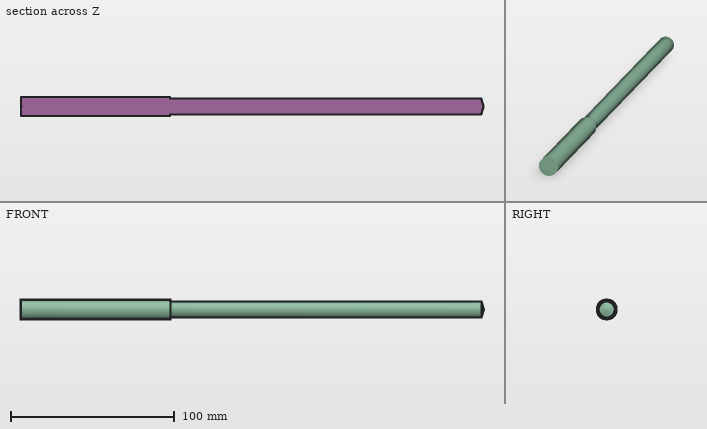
import cadquery as cq

overall_length = 283.0
handle_length = 91.5
handle_diameter = 12.0
shaft_diameter = 10.0
tip_length = 1.5
centre_mark_diameter = 0.1
centre_mark_depth = 0.5

handle_radius = handle_diameter / 2
shaft_radius = shaft_diameter / 2
shaft_end = overall_length - tip_length


def stepped_rod():
    """Thick handle, thinner shaft and shallow conical tip, revolved about the X axis."""
    half_profile = (
        cq.Workplane("XY")
        .moveTo(0, 0)
        .lineTo(0, handle_radius)
        .lineTo(handle_length, handle_radius)
        .lineTo(handle_length, shaft_radius)
        .lineTo(shaft_end, shaft_radius)
        .lineTo(overall_length, 0)
        .close()
    )
    return half_profile.revolve(360, (0, 0, 0), (1, 0, 0))


def centre_mark():
    """Tiny blind hole on the axis, sunk into the flat end of the handle."""
    return cq.Workplane("YZ").circle(centre_mark_diameter / 2).extrude(centre_mark_depth)


result = stepped_rod().cut(centre_mark())